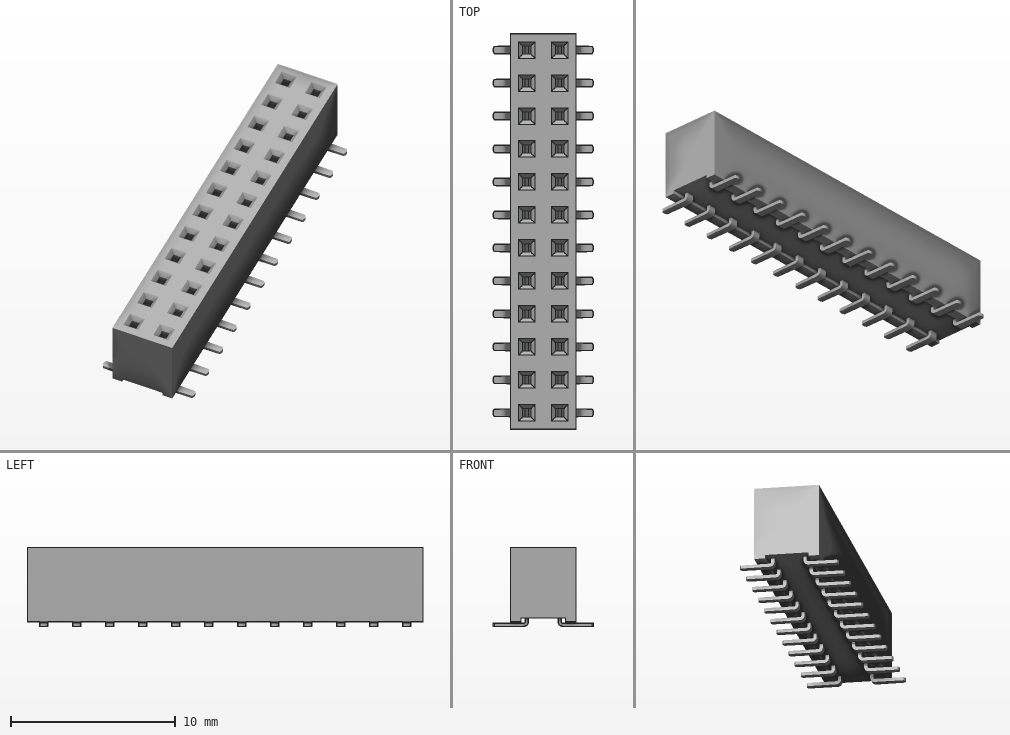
import cadquery as cq

row_count = 12
length = 24.0
pitch = length / row_count
width = 2 * pitch
top_z = 4.8
housing_bottom_z = 0.3
column_x = pitch / 2

channel_half_width = 1.35
channel_top_z = 0.5

mouth_size = pitch / 2
bore_size = mouth_size / 2
lead_in_depth = (mouth_size - bore_size) / 2
bore_depth = 2.4

strip_thickness = 0.2
leg_inner_x = column_x - strip_thickness / 2
leg_outer_x = leg_inner_x + strip_thickness
bend_outer_radius = 0.3
bend_inner_radius = bend_outer_radius - strip_thickness
tail_tip_x = 3.05
tail_root_width = bore_size
tail_tip_width = 0.45
tip_bulge = 0.085
leg_rise = 0.25
leg_top_z = top_z - bore_depth + leg_rise

row_positions = [(row - (row_count - 1) / 2) * pitch for row in range(row_count)]
socket_centers = [(side * column_x, y) for side in (-1, 1) for y in row_positions]


def make_housing():
    height = top_z - housing_bottom_z
    block = cq.Workplane("XY").workplane(offset=housing_bottom_z).box(
        width, length, height, centered=(True, True, False)
    )
    channel_depth = channel_top_z - housing_bottom_z
    channel = cq.Workplane("XY").workplane(offset=housing_bottom_z).box(
        2 * channel_half_width, length, channel_depth, centered=(True, True, False)
    )
    return block.cut(channel)


def make_sockets():
    """Square bores with a 45 degree lead-in at each mouth."""
    lead_ins = (
        cq.Workplane("XY")
        .workplane(offset=top_z)
        .pushPoints(socket_centers)
        .rect(mouth_size, mouth_size)
        .extrude(-lead_in_depth, taper=45)
    )
    bores = (
        cq.Workplane("XY")
        .workplane(offset=top_z)
        .pushPoints(socket_centers)
        .rect(bore_size, bore_size)
        .extrude(-bore_depth)
    )
    return lead_ins.union(bores)


def make_contact():
    """One contact on the +X side: an upright leg bent outward into a flat tail."""
    root = tail_root_width / 2
    strip = (
        cq.Workplane("XZ")
        .moveTo(leg_inner_x, leg_top_z)
        .lineTo(leg_inner_x, bend_outer_radius)
        .radiusArc((leg_inner_x + bend_outer_radius, 0), -bend_outer_radius)
        .lineTo(tail_tip_x, 0)
        .lineTo(tail_tip_x, strip_thickness)
        .lineTo(leg_outer_x + bend_inner_radius, strip_thickness)
        .radiusArc((leg_outer_x, bend_outer_radius), bend_inner_radius)
        .lineTo(leg_outer_x, leg_top_z)
        .close()
        .extrude(root, both=True)
    )

    tip = tail_tip_width / 2
    plan = (
        cq.Workplane("XY")
        .moveTo(leg_inner_x, -root)
        .lineTo(leg_outer_x, -root)
        .lineTo(tail_tip_x - tip_bulge, -tip)
        .threePointArc((tail_tip_x, 0), (tail_tip_x - tip_bulge, tip))
        .lineTo(leg_outer_x, root)
        .lineTo(leg_inner_x, root)
        .close()
        .extrude(leg_top_z)
    )
    return strip.intersect(plan)


right_contact = make_contact()
left_contact = right_contact.mirror("YZ")

result = make_housing().cut(make_sockets())
for y in row_positions:
    for contact in (left_contact, right_contact):
        result = result.union(contact.translate((0, y, 0)))